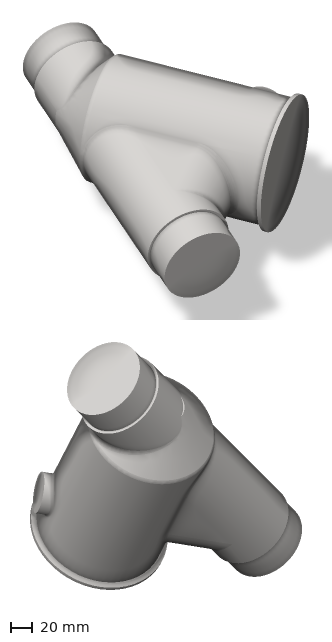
import cadquery as cq
import math

SPAN = 270.8
PIPE_RADIUS = 38.2
PIPE_LENGTH = SPAN * math.sqrt(2) - 2 * PIPE_RADIUS
SLEEVE_RADIUS = 41.0
SPIGOT_LENGTH = 30.5
SLEEVE_LENGTH = PIPE_LENGTH - 2 * SPIGOT_LENGTH
PIPE_DIRECTION = (1, -1, 0)

BARREL_Y = 44.0
BARREL_RADIUS = 60.5
BARREL_START_X = -43.0
CONE_TIP_X = -83.0
CONE_TIP_RADIUS = 20.0
FLANGE_END_X = 133.8
FLANGE_RADIUS = 130.3 / 2
FLANGE_THICKNESS = 3.8
FLANGE_BEVEL_LENGTH = 1.5
FLANGE_BEVEL = 3.8
SHOULDER_FILLET = 5.5

WEB_END_X = 64.0

PORT_X = 89.4
PORT_RADIUS = 19.2
PORT_END_Y = 113.5

SEAM_FILLET = 5.5
PORT_FILLET = 2.2

MARGIN = 0.8


def box_of_edges(x_range, y_range):
    """Select the edges lying wholly inside an X by Y region, at any height."""
    return cq.selectors.BoxSelector(
        (x_range[0], y_range[0], -SPAN),
        (x_range[1], y_range[1], SPAN),
        boundingbox=True,
    )


def slanted_cylinder(radius, length):
    """Cylinder centred on the origin along the slanted pipe axis."""
    offset = length / 2 / math.sqrt(2)
    start = cq.Vector(-offset, offset, 0)
    return cq.Workplane(cq.Solid.makeCylinder(radius, length, start, cq.Vector(*PIPE_DIRECTION)))


def cylinder_along_y(radius, x, start_y, end_y):
    start = cq.Vector(x, start_y, 0)
    return cq.Workplane(cq.Solid.makeCylinder(radius, end_y - start_y, start, cq.Vector(0, 1, 0)))


def make_barrel():
    """Revolve the cone, barrel and bevelled flange about the barrel axis."""
    flange_start_x = FLANGE_END_X - FLANGE_THICKNESS
    profile = (
        cq.Workplane("XY", origin=(0, BARREL_Y, 0))
        .moveTo(CONE_TIP_X, 0)
        .lineTo(CONE_TIP_X, CONE_TIP_RADIUS)
        .lineTo(BARREL_START_X, BARREL_RADIUS)
        .lineTo(flange_start_x - FLANGE_BEVEL_LENGTH, BARREL_RADIUS)
        .lineTo(flange_start_x - FLANGE_BEVEL_LENGTH, FLANGE_RADIUS - FLANGE_BEVEL)
        .lineTo(flange_start_x, FLANGE_RADIUS)
        .lineTo(FLANGE_END_X, FLANGE_RADIUS)
        .lineTo(FLANGE_END_X, 0)
        .close()
    )
    barrel = profile.revolve(360, (0, 0, 0), (1, 0, 0))
    shoulder = box_of_edges((BARREL_START_X - MARGIN, BARREL_START_X + MARGIN), (-SPAN, SPAN))
    return barrel.edges(shoulder).fillet(SHOULDER_FILLET)


def make_web():
    """Fill between the slanted axis and the barrel, as wide as the sleeve."""
    flat_part = (
        cq.Workplane("XY")
        .polyline([(0, 0), (WEB_END_X, -WEB_END_X), (WEB_END_X, BARREL_Y), (0, BARREL_Y)])
        .close()
        .extrude(SLEEVE_RADIUS, both=True)
    )
    round_end = cylinder_along_y(SLEEVE_RADIUS, WEB_END_X, -WEB_END_X, BARREL_Y)
    return flat_part.union(round_end)


barrel = make_barrel()
sleeve = slanted_cylinder(SLEEVE_RADIUS, SLEEVE_LENGTH)
body = barrel.union(sleeve).union(make_web())
pipe = slanted_cylinder(PIPE_RADIUS, PIPE_LENGTH)
port = cylinder_along_y(PORT_RADIUS, PORT_X, BARREL_Y, PORT_END_Y)
result = body.union(port).union(pipe)

barrel_bottom_y = BARREL_Y - BARREL_RADIUS
barrel_top_y = BARREL_Y + BARREL_RADIUS
web_outer_x = WEB_END_X + SLEEVE_RADIUS
cone_seam = box_of_edges((CONE_TIP_X - MARGIN, BARREL_START_X), (0, barrel_top_y))
web_seam = box_of_edges(
    (BARREL_START_X, web_outer_x + MARGIN),
    (barrel_bottom_y - MARGIN, MARGIN),
)
web_sleeve_seam = box_of_edges(
    (WEB_END_X - MARGIN, web_outer_x + MARGIN),
    (-WEB_END_X - MARGIN, barrel_bottom_y - SEAM_FILLET),
)
port_seam = box_of_edges(
    (PORT_X - PORT_RADIUS - MARGIN, PORT_X + PORT_RADIUS + MARGIN),
    (BARREL_Y, barrel_top_y + MARGIN),
)

result = result.edges("%BSPLINE").edges(cone_seam).fillet(SEAM_FILLET)
result = result.edges(web_seam).fillet(SEAM_FILLET)
result = result.edges("%ELLIPSE").edges(web_sleeve_seam).fillet(SEAM_FILLET)
result = result.edges("%BSPLINE").edges(port_seam).fillet(PORT_FILLET)